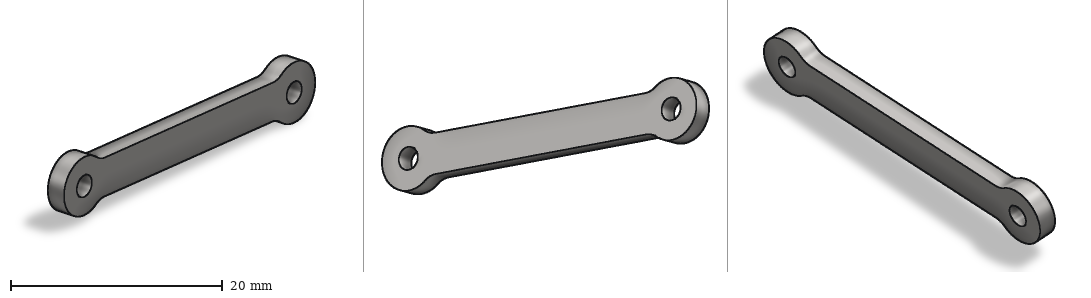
import cadquery as cq
import math

thickness = 2.0
front_eye_radius = 3.0
rear_eye_radius = 3.1
hole_diameter = 2.23
bar_width = 4.0
neck_radius = 2.0
overall_length = 37.1
overall_height = 6.95

centre_span = overall_length - front_eye_radius - rear_eye_radius
centre_rise = overall_height - front_eye_radius - rear_eye_radius
bar_length = math.hypot(centre_span, centre_rise)
bar_tilt = math.degrees(math.atan2(centre_rise, centre_span))


def cylinder(y, radius):
    """Cylinder through the thickness, on the bar axis."""
    return cq.Workplane("YZ").center(y, 0).circle(radius).extrude(thickness)


bar = cq.Workplane("YZ").center(bar_length / 2, 0).rect(bar_length, bar_width).extrude(thickness)
link = bar.union(cylinder(0, front_eye_radius)).union(cylinder(bar_length, rear_eye_radius))

neck_edges = cq.selectors.BoxSelector(
    (-thickness, front_eye_radius / 2, -bar_width),
    (2 * thickness, bar_length - rear_eye_radius / 2, bar_width),
)
link = link.edges("|X").edges(neck_edges).fillet(neck_radius)

for hole_y in (0, bar_length):
    link = link.cut(cylinder(hole_y, hole_diameter / 2))

result = link.rotate((0, 0, 0), (1, 0, 0), -bar_tilt)